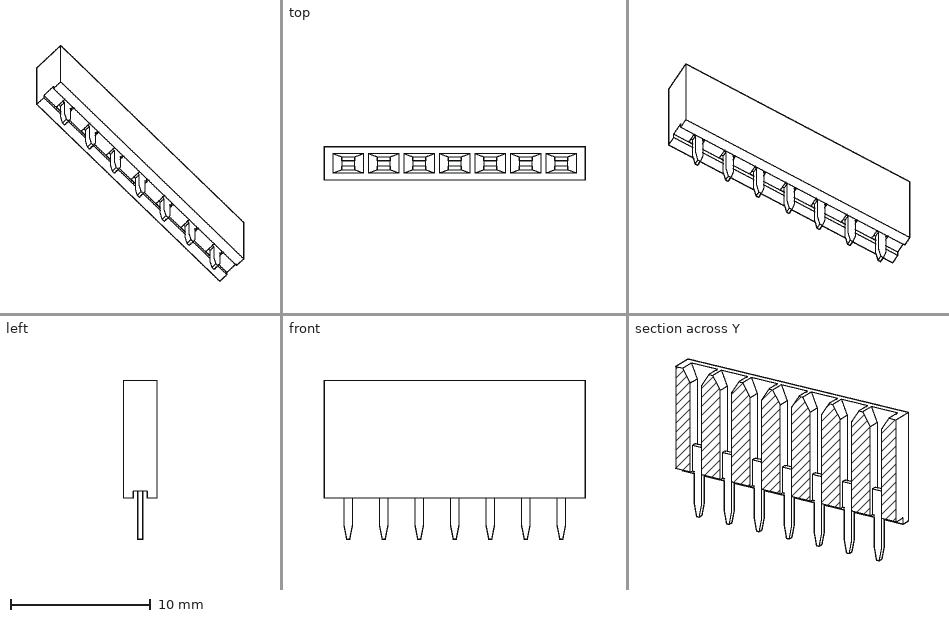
import cadquery as cq

contact_count = 7
pitch = 2.55
housing_length = 18.69
housing_width = 2.41
housing_height = 8.43

mouth_length = 2.2
mouth_width = 1.4
throat_size = 0.92
mouth_depth = 1.0

groove_width = 0.97
groove_depth = 0.5

contact_thickness = 0.4
tail_width = 0.62
tail_length = 2.95
tip_width = 0.22
tip_length = 0.99
head_height = 2.0

contact_positions = [(i - (contact_count - 1) / 2) * pitch for i in range(contact_count)]


def make_socket(x):
    """Opening through the housing: tapered mouth at the top, throat down to the groove."""
    throat = (
        cq.Workplane("XY")
        .center(x, 0)
        .rect(throat_size, throat_size)
        .extrude(housing_height)
    )
    mouth = (
        cq.Workplane("XY")
        .workplane(offset=housing_height - mouth_depth)
        .center(x, 0)
        .rect(throat_size, throat_size)
        .workplane(offset=mouth_depth)
        .rect(mouth_length, mouth_width)
        .loft(combine=True)
    )
    return throat.union(mouth)


def make_housing():
    """Rectangular block with its underside at Z = 0, a full-length groove and a row of sockets."""
    block = cq.Workplane("XY").box(
        housing_length, housing_width, housing_height, centered=(True, True, False)
    )
    groove = cq.Workplane("XY").box(
        housing_length, groove_width, groove_depth, centered=(True, True, False)
    )
    block = block.cut(groove)
    for x in contact_positions:
        block = block.cut(make_socket(x))
    return block


def make_contact(x):
    """Flat contact: the head spans the throat, the tail runs down and tapers to a blunt tip."""
    right_side = [
        (tip_width / 2, -tail_length),
        (tail_width / 2, tip_length - tail_length),
        (tail_width / 2, groove_depth),
        (throat_size / 2, groove_depth),
        (throat_size / 2, groove_depth + head_height),
    ]
    left_side = [(-px, pz) for px, pz in reversed(right_side)]
    return (
        cq.Workplane("XZ")
        .polyline(right_side + left_side)
        .close()
        .extrude(contact_thickness / 2, both=True)
        .translate((x, 0, 0))
    )


housing = make_housing()
contacts = [make_contact(x) for x in contact_positions]

result = cq.Compound.makeCompound([housing.val(), *[contact.val() for contact in contacts]])